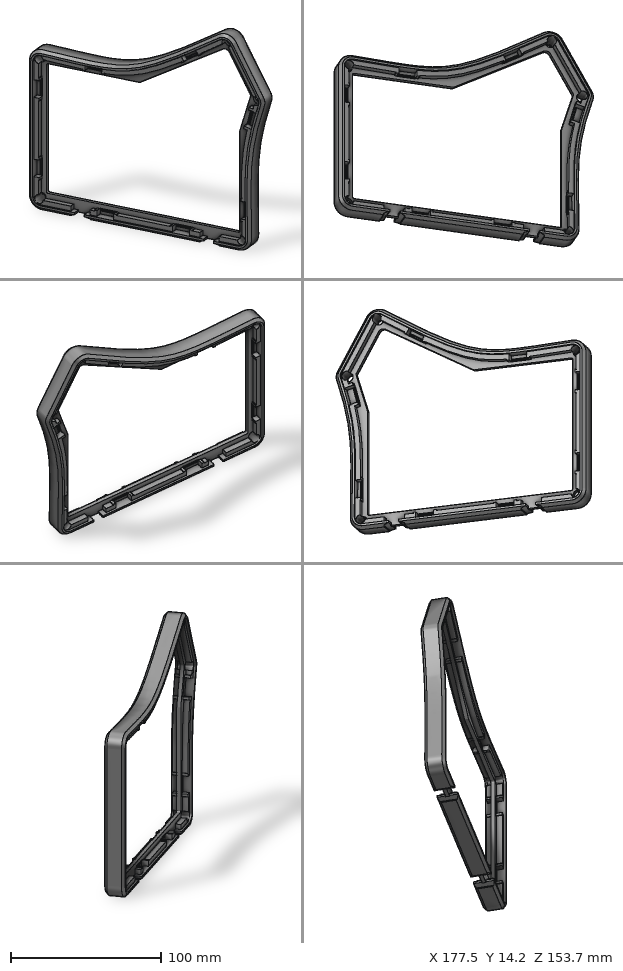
import cadquery as cq
import math

THICKNESS = 14.2
BASE_WIDTH = 167.45
LEFT_HEIGHT = 115.5
TOP_TILT = 1.5
ROOF_SLOPE = 32.0
GABLE_SLOPE = 60.0
FLANK_LEAN = 18.0
APEX = (151.0, 157.45)
FLANK_FOOT_HEIGHT = 77.6

CORNER_RADIUS = 9.5
SHOULDER_RADIUS = 7.4
FLANK_PULLS = (0.64, 1.35)
ROOF_PULLS = (1.1, 0.92)
EDGE_CHAMFER = 2.0

WALL_INSET = 3.5
RIB_INSET = 7.0
HOLE_INSET = 7.4
PAD_INSET = 7.6
WINDOW_INSET = 10.9

WEB_THICKNESS = 2.8
RIB_RECESS = 1.6
WINDOW_CORNER_RADIUS = 1.0
WINDOW_APEX_RADIUS = 3.5
WINDOW_TOP = 104.2
WINDOW_FLANK_FOOT = 84.1
WINDOW_FLANK_LEAN = 17.0
WINDOW_ROOF_SLOPE = 30.0
WINDOW_APEX = (147.0, 142.2)
HOLE_DIAMETER = 6.2

CLIP_LENGTH = 12.6
PAD_LENGTH = 2.0
CLIP_RECESS_DEPTH = 0.6
GROOVE_START = 5.7
GROOVE_DEPTH = 0.5

NOTCH_CENTRES = (38.7, 136.0)
NOTCH_WIDTH = 14.5
NOTCH_NARROWING = 3.6
NOTCH_SLOPE_START = 0.9
NOTCH_SLOPE_END = 2.1
NOTCH_WEB_DEPTH = 1.9

HALF = THICKNESS / 2
WEB_FACE = WEB_THICKNESS / 2


def direction(degrees):
    return (math.cos(math.radians(degrees)), math.sin(math.radians(degrees)))


def crossing(point_a, dir_a, point_b, dir_b):
    """Point where two lines, each given by a point and a direction, cross."""
    span = (point_b[0] - point_a[0], point_b[1] - point_a[1])
    det = dir_a[0] * dir_b[1] - dir_a[1] * dir_b[0]
    step = (span[0] * dir_b[1] - span[1] * dir_b[0]) / det
    return (point_a[0] + step * dir_a[0], point_a[1] + step * dir_a[1])


def side_direction(corners, i):
    start = corners[i]
    end = corners[(i + 1) % len(corners)]
    length = math.dist(start, end)
    return ((end[0] - start[0]) / length, (end[1] - start[1]) / length)


def inset_corners(corners, inset):
    """Corners of the counter-clockwise polygon with every side moved inward."""
    moved = []
    for i, corner in enumerate(corners):
        before = side_direction(corners, i - 1)
        after = side_direction(corners, i)
        on_before = (corner[0] - inset * before[1], corner[1] + inset * before[0])
        on_after = (corner[0] - inset * after[1], corner[1] + inset * after[0])
        moved.append(crossing(on_before, before, on_after, after))
    return moved


def corner_arc(corners, i, radius):
    """Start, middle and end of the arc that rounds one polygon corner."""
    before = side_direction(corners, i - 1)
    after = side_direction(corners, i)
    corner = corners[i]
    turn = math.acos(before[0] * after[0] + before[1] * after[1])
    reach = radius * math.tan(turn / 2)
    rise = radius * (1 / math.cos(turn / 2) - 1)
    bisector = (after[0] - before[0], after[1] - before[1])
    size = math.hypot(*bisector)
    start = (corner[0] - reach * before[0], corner[1] - reach * before[1])
    middle = (corner[0] + rise * bisector[0] / size, corner[1] + rise * bisector[1] / size)
    end = (corner[0] + reach * after[0], corner[1] + reach * after[1])
    return start, middle, end


def between(start, end, share):
    return (start[0] + share * (end[0] - start[0]), start[1] + share * (end[1] - start[1]))


def bend_curve(corners, radii, i):
    """Four control points of the cubic curve that replaces the inward corner i."""
    start = corner_arc(corners, i - 1, radii[i - 1])[2]
    end = corner_arc(corners, i + 1, radii[i + 1])[0]
    first_pull, second_pull = BENDS[i]
    return [start, between(start, corners[i], first_pull), between(end, corners[i], second_pull), end]


def closed_profile(corners, radii, bends=()):
    """Closed XZ wire with arcs at the polygon corners and cubic curves at the listed bends."""
    profile = cq.Workplane("XZ").moveTo(*corner_arc(corners, 0, radii[0])[2])
    order = list(range(1, len(corners))) + [0]
    for i in order:
        if i in bends:
            profile = profile.bezier(bend_curve(corners, radii, i)[1:], includeCurrent=True)
            continue
        start, middle, end = corner_arc(corners, i, radii[i])
        if i - 1 not in bends:
            profile = profile.lineTo(*start)
        profile = profile.threePointArc(middle, end)
    return profile.close()


def prism(profile, y_from, y_to):
    """Extrude an XZ profile between two Y positions."""
    return profile.extrude(y_from - y_to).translate((0, y_from, 0))


def both_faces(front):
    """The given front shape together with its mirror image at the back."""
    return front.union(front.mirror("XZ"))


roof = direction(ROOF_SLOPE)
gable = direction(-GABLE_SLOPE)
flank = direction(90 - FLANK_LEAN)
top_left = (0, LEFT_HEIGHT)
flank_foot = (BASE_WIDTH, FLANK_FOOT_HEIGHT)
shoulder = crossing(APEX, gable, flank_foot, flank)
valley = crossing(top_left, direction(-TOP_TILT), APEX, roof)

CORNERS = [(0, 0), (BASE_WIDTH, 0), flank_foot, shoulder, APEX, valley, top_left]
FLANK_INDEX, SHOULDER_INDEX, APEX_INDEX, ROOF_INDEX = 2, 3, 4, 5
BENDS = {FLANK_INDEX: FLANK_PULLS, ROOF_INDEX: ROOF_PULLS}


def corner_radii(inset):
    radii = [CORNER_RADIUS - inset] * len(CORNERS)
    radii[SHOULDER_INDEX] = SHOULDER_RADIUS - inset
    return radii


def outline(inset):
    return closed_profile(inset_corners(CORNERS, inset), corner_radii(inset), BENDS)


def window():
    right = BASE_WIDTH - WINDOW_INSET
    foot = (right, WINDOW_FLANK_FOOT)
    lean = direction(90 - WINDOW_FLANK_LEAN)
    corners = [
        (WINDOW_INSET, WINDOW_INSET),
        (right, WINDOW_INSET),
        foot,
        crossing(WINDOW_APEX, gable, foot, lean),
        WINDOW_APEX,
        crossing((0, WINDOW_TOP), (1, 0), WINDOW_APEX, direction(WINDOW_ROOF_SLOPE)),
        (WINDOW_INSET, WINDOW_TOP),
    ]
    radii = [WINDOW_CORNER_RADIUS] * len(corners)
    radii[APEX_INDEX] = WINDOW_APEX_RADIUS
    return prism(closed_profile(corners, radii), -HALF, HALF)


LOW_CLIP, HIGH_CLIP = 29.1, 86.2


def clip_on_bend(i, share):
    """Place of a clip on a curved side, at a share of the curve's parameter."""
    controls = bend_curve(CORNERS, corner_radii(0), i)
    while len(controls) > 2:
        controls = [between(a, b, share) for a, b in zip(controls, controls[1:])]
    start, end = controls
    angle = math.degrees(math.atan2(end[1] - start[1], end[0] - start[0]))
    return between(start, end, share), angle


CLIPS = [
    ((57.4, 0), 0),
    ((114.5, 0), 0),
    ((BASE_WIDTH, LOW_CLIP), 90),
    ((171.0, 94.4), 75),
    clip_on_bend(ROOF_INDEX, 0.136),
    clip_on_bend(ROOF_INDEX, 0.751),
    ((0, HIGH_CLIP), 270),
    ((0, LOW_CLIP), 270),
]


def at_clips(shape):
    """Copies of a shape modelled at the origin (side along +X, inward +Z), one per clip."""
    copies = cq.Workplane("XZ")
    for (x, z), angle in CLIPS:
        copies = copies.add(shape.rotate((0, 0, 0), (0, -1, 0), angle).translate((x, 0, z)))
    return copies.combine()


def block(length, z_from, z_to, y_from, y_to):
    size = (length, y_to - y_from, z_to - z_from)
    return cq.Workplane("XY").box(*size, centered=(True, False, False)).translate((0, y_from, z_from))


def catch_groove():
    """Flat-bottomed groove with 45 degree sides in the floor of a clip recess."""
    floor = -WEB_FACE + CLIP_RECESS_DEPTH
    width = PAD_INSET - GROOVE_START
    groove = cq.Workplane("XZ", origin=(0, floor, (GROOVE_START + PAD_INSET) / 2))
    return groove.rect(CLIP_LENGTH, width).extrude(-GROOVE_DEPTH, taper=45)


def wall_and_web():
    body = prism(outline(0), -HALF, HALF)
    body = body.faces("<Y or >Y").edges().chamfer(EDGE_CHAMFER)
    hollow = prism(outline(WALL_INSET), -HALF, -WEB_FACE)
    return body.cut(both_faces(hollow)).cut(window())


def front_rib():
    top = -HALF + RIB_RECESS
    cavity = prism(outline(WALL_INSET), top, -WEB_FACE)
    rib = cavity.cut(prism(outline(RIB_INSET), top, -WEB_FACE))
    pads = at_clips(block(CLIP_LENGTH + 2 * PAD_LENGTH, 0, PAD_INSET, top, -WEB_FACE))
    gaps = at_clips(block(CLIP_LENGTH, 0, WINDOW_INSET, top, -WEB_FACE))
    rib = rib.union(pads.intersect(cavity)).cut(gaps)
    for centre in NOTCH_CENTRES:
        rib = rib.cut(block(NOTCH_WIDTH, 0, RIB_INSET, top, -WEB_FACE).translate((centre, 0, 0)))
    return rib


def clip_recesses():
    floor = -WEB_FACE + CLIP_RECESS_DEPTH
    floors = at_clips(block(CLIP_LENGTH, 0, PAD_INSET, -WEB_FACE, floor))
    floors = floors.intersect(prism(outline(WALL_INSET), -WEB_FACE, floor))
    return both_faces(floors.union(at_clips(catch_groove())))


def notches():
    """Openings through the bottom wall that narrow toward the inside of the frame."""
    outer = NOTCH_WIDTH / 2
    inner = outer - NOTCH_NARROWING
    opening = prism(cq.Workplane("XZ").polyline([
        (-outer, 0),
        (outer, 0),
        (outer, NOTCH_SLOPE_START),
        (inner, NOTCH_SLOPE_END),
        (inner, WALL_INSET),
        (-inner, WALL_INSET),
        (-inner, NOTCH_SLOPE_END),
        (-outer, NOTCH_SLOPE_START),
    ]).close(), -HALF, HALF)
    kept_web = block(NOTCH_WIDTH, NOTCH_WEB_DEPTH, WALL_INSET, -WEB_FACE, WEB_FACE)
    opening = opening.cut(kept_web)
    cutters = cq.Workplane("XZ")
    for centre in NOTCH_CENTRES:
        cutters = cutters.add(opening.translate((centre, 0, 0)))
    return cutters.combine()


def screw_holes():
    centres = inset_corners(CORNERS, HOLE_INSET)
    centres = [c for i, c in enumerate(centres) if i not in BENDS]
    return prism(cq.Workplane("XZ").pushPoints(centres).circle(HOLE_DIAMETER / 2), -HALF, HALF)


frame = wall_and_web().union(both_faces(front_rib()))
frame = frame.cut(clip_recesses())
frame = frame.cut(notches())
result = frame.cut(screw_holes())